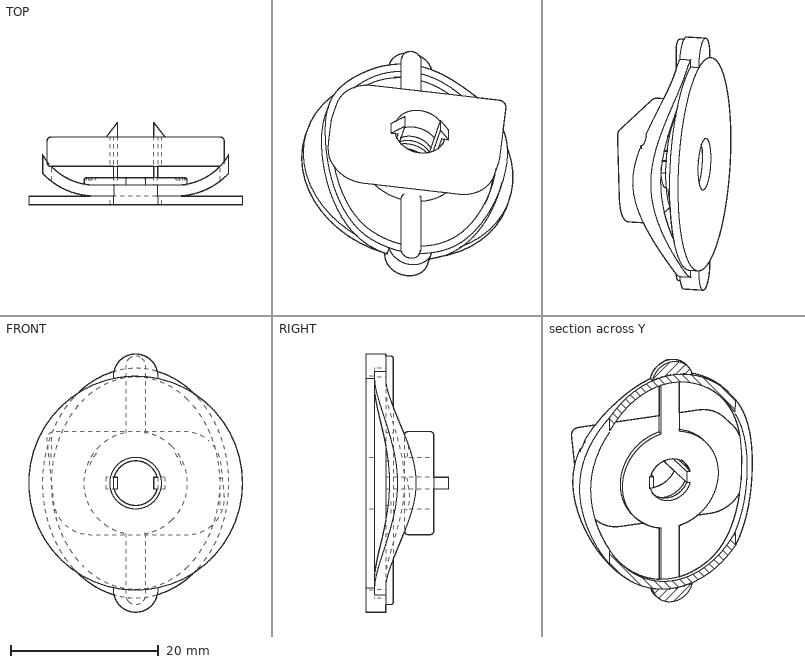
import cadquery as cq
import math

disc_radius = 14.47
disc_thickness = 1.2
bore_radius = 3.5

spring_thickness = 1.5
ring_half_width = 12.6
ring_half_height = 15.55
ring_band = 1.2
flat_half_width = 5.5
curl_radius = 9.7
curl_angle = math.radians(70)

carrier_thickness = 1.0
bar_half_length = 16.8
bar_half_width = 1.33
bar_offset = 0.4
hub_radius = 7.0
hub_hole_radius = 3.0
carrier_round = 0.3
tab_radius = 3.0

prong_inner_x = 2.45
prong_thickness = 0.55
prong_width = 1.6
barb_overhang = 0.98
barb_height = 2.0

block_gap = 1.5
block_thickness = 4.0
block_half_width = 12.0
block_half_height = 7.0
side_tilt = math.radians(6)
tight_corner = 1.0
wide_corner = 5.0
block_round = 0.52

spring_y = disc_thickness
carrier_y = spring_y + spring_thickness
block_y = carrier_y + carrier_thickness + block_gap
barb_y = block_y + block_thickness


def plane_at(y):
    """Sketch plane facing -Y at the given level; a negative extrusion runs toward +Y."""
    return cq.Workplane("XZ", origin=(0, y, 0))


def make_disc():
    return plane_at(0).circle(disc_radius).circle(bore_radius).extrude(-disc_thickness)


def make_curled_sheet():
    """Sheet that is flat in the middle and bends toward +Y along two concentric arcs per side."""
    centre_y = spring_y + curl_radius
    back_radius = curl_radius - spring_thickness

    def arc_point(radius, angle, side):
        return (side * (flat_half_width + radius * math.sin(angle)), centre_y - radius * math.cos(angle))

    half_angle = curl_angle / 2
    return (
        cq.Workplane("XY")
        .moveTo(*arc_point(curl_radius, 0, -1))
        .lineTo(*arc_point(curl_radius, 0, 1))
        .threePointArc(arc_point(curl_radius, half_angle, 1), arc_point(curl_radius, curl_angle, 1))
        .lineTo(*arc_point(back_radius, curl_angle, 1))
        .threePointArc(arc_point(back_radius, half_angle, 1), arc_point(back_radius, 0, 1))
        .lineTo(*arc_point(back_radius, 0, -1))
        .threePointArc(arc_point(back_radius, half_angle, -1), arc_point(back_radius, curl_angle, -1))
        .lineTo(*arc_point(curl_radius, curl_angle, -1))
        .threePointArc(arc_point(curl_radius, half_angle, -1), arc_point(curl_radius, 0, -1))
        .close()
        .extrude(ring_half_height + ring_band, both=True)
    )


def make_spring():
    ring = (
        plane_at(0)
        .ellipse(ring_half_width, ring_half_height)
        .ellipse(ring_half_width - ring_band, ring_half_height - ring_band)
        .extrude(-barb_y)
    )
    return make_curled_sheet().intersect(ring)


def make_tabs(spring):
    """Two round-ended tabs that hug the rims of the disc and the spring at the +Z and -Z ends."""
    tabs = (
        plane_at(0)
        .slot2D(2 * (disc_radius + tab_radius), 2 * tab_radius, 90)
        .extrude(-carrier_y)
    )
    return tabs.cut(plane_at(0).circle(disc_radius).extrude(-carrier_y)).cut(spring)


def make_prong(side):
    """Straight prong from the carrier front, ending in an outward barb that hooks over the block."""
    outer_x = prong_inner_x + prong_thickness
    return (
        cq.Workplane("XY")
        .moveTo(side * prong_inner_x, carrier_y)
        .lineTo(side * outer_x, carrier_y)
        .lineTo(side * outer_x, barb_y)
        .lineTo(side * (outer_x + barb_overhang), barb_y)
        .lineTo(side * prong_inner_x, barb_y + barb_height)
        .close()
        .extrude(prong_width / 2, both=True)
    )


def make_carrier(spring, fixed_prong, loose_prong):
    """Bar, hub and tabs, with one prong grown from the hub and a notch for the other."""
    bar = (
        plane_at(carrier_y)
        .center(0, bar_offset)
        .slot2D(2 * bar_half_length, 2 * bar_half_width, 90)
        .extrude(-carrier_thickness)
    )
    hub = plane_at(carrier_y).circle(hub_radius).extrude(-carrier_thickness)
    plate = bar.union(hub).faces(">Y").edges().fillet(carrier_round)
    hole = plane_at(carrier_y).circle(hub_hole_radius).extrude(-carrier_thickness)
    return plate.cut(hole).union(make_tabs(spring)).union(fixed_prong).cut(loose_prong)


def make_block():
    """Block whose two ends lean alike, with one tight corner and three wide ones."""
    lean = 2 * block_half_height * math.tan(side_tilt)
    acute_reach = 1 / math.cos(side_tilt) + math.tan(side_tilt) - 1
    left_x = -block_half_width - tight_corner * acute_reach
    right_x = block_half_width + wide_corner * acute_reach
    corners = [
        (left_x, block_half_height, tight_corner),
        (right_x - lean, block_half_height, wide_corner),
        (right_x, -block_half_height, wide_corner),
        (left_x + lean, -block_half_height, wide_corner),
    ]
    outline = [(x, z) for x, z, _ in corners]
    block = plane_at(block_y).polyline(outline).close().extrude(-block_thickness)

    mid_y = block_y + block_thickness / 2
    for x, z, radius in corners:
        corner = cq.selectors.NearestToPointSelector((x, mid_y, z))
        block = block.edges("|Y").edges(corner).fillet(radius)
    block = block.faces("<Y or >Y").edges().fillet(block_round)
    return block.cut(plane_at(block_y).circle(bore_radius).extrude(-block_thickness))


disc = make_disc()
block = make_block()
spring = make_spring().cut(block)
loose_prong = make_prong(-1)
carrier = make_carrier(spring, make_prong(1), loose_prong)

result = cq.Compound.makeCompound(
    [disc.val(), spring.val(), carrier.val(), loose_prong.val(), block.val()]
)